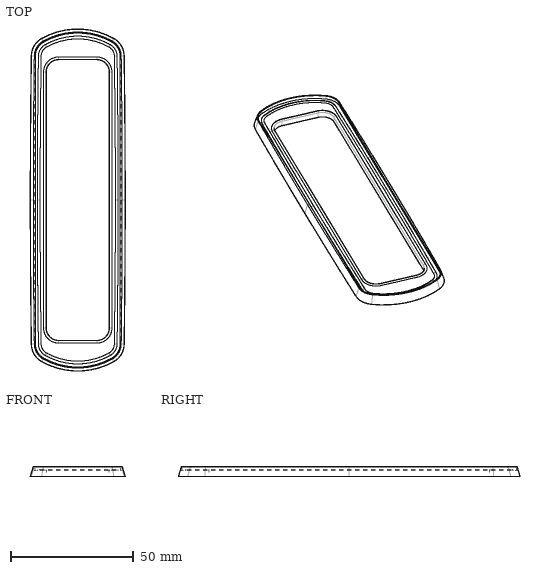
import cadquery as cq
import math

length = 140.0
width = 38.9
height = 4.0
side_bow = 0.4
corner_radius = 8.4
corner_centre_y = 58.8

rim_taper = 1.3
rim_inner = 1.7
rim_undercut = 0.3
floor_z = 2.4

opening_length = 114.8
opening_width = 25.8
opening_radius = 5.0

bead_radius = 0.5
outer_bead_inset = 3.5

end_y = length / 2
corner_centre_x = width / 2 - side_bow - corner_radius
end_rise = end_y - corner_centre_y
end_radius = (corner_centre_x**2 + end_rise**2 - corner_radius**2) / (2 * (end_rise - corner_radius))
end_centre_y = end_y - end_radius
blend_angle = math.atan2(corner_centre_x, corner_centre_y - end_centre_y)
side_radius = corner_radius + (side_bow**2 + corner_centre_y**2) / (2 * side_bow)
side_centre_x = width / 2 - side_radius
side_angle = math.asin(corner_centre_y / (side_radius - corner_radius))


def corner_point(radius, angle):
    """Point on the +X +Y corner arc, with the angle measured from +Y."""
    return (
        corner_centre_x + radius * math.sin(angle),
        corner_centre_y + radius * math.cos(angle),
    )


def outline(inset, z, bowed=True):
    """Closed plan outline at height z, moved inward from the outer edge by inset."""
    radius = corner_radius - inset
    end = end_y - inset
    turn_angle = side_angle if bowed else 0
    turn_x, turn_y = corner_point(radius, math.pi / 2 - turn_angle)
    mid_x, mid_y = corner_point(radius, (blend_angle + math.pi / 2 - turn_angle) / 2)
    blend_x, blend_y = corner_point(radius, blend_angle)
    middle_x = width / 2 - inset if bowed else turn_x
    quarter_x = side_centre_x + (side_radius - inset) * math.cos(side_angle / 2)
    quarter_y = (side_radius - inset) * math.sin(side_angle / 2)

    def half_side(plan, x_sign, y_sign, target):
        if bowed:
            return plan.threePointArc((x_sign * quarter_x, y_sign * quarter_y), target)
        return plan.lineTo(*target)

    plan = cq.Workplane("XY", origin=(0, 0, z)).moveTo(middle_x, 0)
    for sign in (1, -1):
        plan = half_side(plan, sign, sign, (sign * turn_x, sign * turn_y))
        plan = plan.threePointArc((sign * mid_x, sign * mid_y), (sign * blend_x, sign * blend_y))
        plan = plan.threePointArc((0, sign * end), (-sign * blend_x, sign * blend_y))
        plan = plan.threePointArc((-sign * mid_x, sign * mid_y), (-sign * turn_x, sign * turn_y))
        plan = half_side(plan, -sign, sign, (-sign * middle_x, 0))
    return plan.close()


def opening_outline(growth, z):
    """Rounded rectangle of the opening at height z, moved outward by growth."""
    half_width = opening_width / 2 + growth
    half_length = opening_length / 2 + growth
    radius = opening_radius + growth
    straight_x = half_width - radius
    straight_y = half_length - radius
    plan = cq.Workplane("XY", origin=(0, 0, z)).moveTo(half_width, -straight_y)
    for sign in (1, -1):
        plan = plan.lineTo(sign * half_width, sign * straight_y)
        plan = plan.radiusArc((sign * straight_x, sign * half_length), -radius)
        plan = plan.lineTo(-sign * straight_x, sign * half_length)
        plan = plan.radiusArc((-sign * half_width, sign * straight_y), -radius)
    return plan.close()


def ruled_solid(bottom, top):
    """Solid with straight walls from one outline up to another."""
    return cq.Workplane(cq.Solid.makeLoft([bottom.val(), top.val()], True))


def plate():
    """Solid plate with a sloped outer wall."""
    return ruled_solid(outline(0, 0), outline(rim_taper, height))


def recess():
    """Flat-floored hollow, wider at the floor than at the rim."""
    bottom = outline(rim_inner - rim_undercut, floor_z, bowed=False)
    top = outline(rim_inner, height, bowed=False)
    return ruled_solid(bottom, top)


def opening():
    """Straight-walled opening through the whole plate."""
    return opening_outline(0, 0).extrude(height)


def bead(path):
    """Half-round rib swept along a closed path on the floor."""
    start = path.val().startPoint()
    profile = (
        cq.Workplane("XZ", origin=(start.x, start.y, floor_z))
        .moveTo(-bead_radius, 0)
        .threePointArc((0, bead_radius), (bead_radius, 0))
        .close()
    )
    return profile.sweep(path, transition="right")


result = plate().cut(recess()).cut(opening())
result = result.union(bead(outline(outer_bead_inset, floor_z)))
result = result.union(bead(opening_outline(bead_radius, floor_z)))